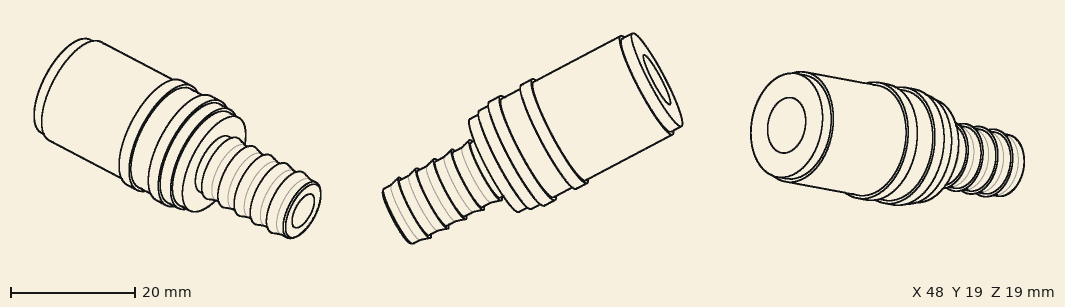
import cadquery as cq

LENGTH = 48.0

BODY_LENGTH = 30.0
COLLAR_DIAMETER = 19.0
BARREL_DIAMETER = 18.0
END_DIAMETER = 17.0
COLLAR_WIDTH = 2.0
FRONT_STEP = 1.9
REAR_STEP = COLLAR_WIDTH
FIRST_COLLAR_START = 17.95
SECOND_COLLAR_START = 23.85

STEM_DIAMETER = 10.1
STEM_CHAMFER = 0.3
BARB_DIAMETER = 11.05
BARB_COUNT = 5

SOCKET_DIAMETER = 9.0
BORE_DIAMETER = 6.0

STEM_LENGTH = LENGTH - BODY_LENGTH
BARB_LENGTH = STEM_LENGTH / (2 * BARB_COUNT + 1)
BARB_PITCH = 2 * BARB_LENGTH

REAR_STEP_START = BODY_LENGTH - REAR_STEP
SOCKET_DEPTH = REAR_STEP_START


def cylinder(start, length, diameter):
    """Solid cylinder along +X beginning at X = start."""
    return cq.Workplane("YZ", origin=(start, 0, 0)).circle(diameter / 2).extrude(length)


def barb(start):
    """Solid cone with its sharp, wide edge at X = start, narrowing to the stem diameter."""
    profile = [
        (start, 0),
        (start, BARB_DIAMETER / 2),
        (start + BARB_LENGTH, STEM_DIAMETER / 2),
        (start + BARB_LENGTH, 0),
    ]
    return cq.Workplane("XY").polyline(profile).close().revolve(360, (0, 0, 0), (1, 0, 0))


def coupling_body():
    """Barrel with a smaller step at each end and two raised collars."""
    body = cylinder(0, BODY_LENGTH, END_DIAMETER)
    body = body.union(cylinder(FRONT_STEP, REAR_STEP_START - FRONT_STEP, BARREL_DIAMETER))
    for start in (FIRST_COLLAR_START, SECOND_COLLAR_START):
        body = body.union(cylinder(start, COLLAR_WIDTH, COLLAR_DIAMETER))
    return body


def hose_stem():
    """Plain stem with a chamfered tip and evenly spaced barbs."""
    stem = cylinder(BODY_LENGTH, STEM_LENGTH, STEM_DIAMETER)
    stem = stem.faces(">X").chamfer(STEM_CHAMFER)
    for index in range(BARB_COUNT):
        stem = stem.union(barb(BODY_LENGTH + BARB_LENGTH + index * BARB_PITCH))
    return stem


def stepped_bore():
    """Wide socket at the body end, continuing as a narrower bore through the stem."""
    socket = cylinder(0, SOCKET_DEPTH, SOCKET_DIAMETER)
    return socket.union(cylinder(0, LENGTH, BORE_DIAMETER))


result = coupling_body().union(hose_stem()).cut(stepped_bore())